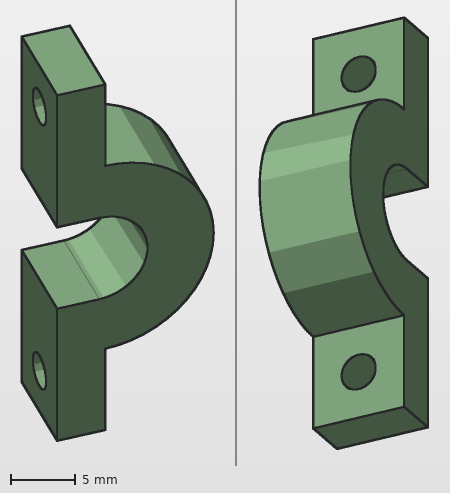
import cadquery as cq

width = 8.0
height = 34.0
ear_thickness = 4.0
outer_radius = 9.0
channel_radius = 4.0
channel_centre_y = 3.5
hole_diameter = 3.0
hole_spacing = 26.0


def make_body():
    """Ear plate with a half-round arch behind it."""
    plate = cq.Workplane("XY").box(width, ear_thickness, height, centered=(True, False, True))
    arch = (
        cq.Workplane("YZ", origin=(-width / 2, 0, 0))
        .moveTo(ear_thickness, -outer_radius)
        .threePointArc((ear_thickness + outer_radius, 0), (ear_thickness, outer_radius))
        .close()
        .extrude(width)
    )
    return plate.union(arch)


def make_channel():
    """Round-bottomed channel along X, open at the front face."""
    return (
        cq.Workplane("YZ", origin=(-width / 2, 0, 0))
        .moveTo(0, -channel_radius)
        .lineTo(channel_centre_y, -channel_radius)
        .threePointArc((channel_centre_y + channel_radius, 0), (channel_centre_y, channel_radius))
        .lineTo(0, channel_radius)
        .close()
        .extrude(width)
    )


def make_screw_holes():
    """One through hole along Y in each ear."""
    return (
        cq.Workplane("XZ")
        .pushPoints([(0, -hole_spacing / 2), (0, hole_spacing / 2)])
        .circle(hole_diameter / 2)
        .extrude(-ear_thickness)
    )


result = make_body().cut(make_channel()).cut(make_screw_holes())